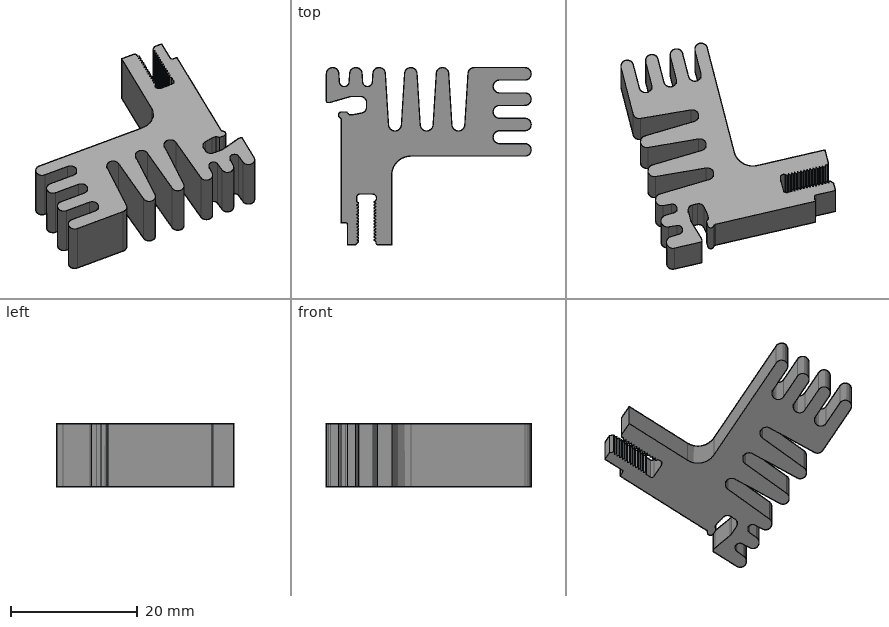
import cadquery as cq
import math

LENGTH_Z = 10.0
RIGHT_X = 30.0
TOP_Y = 28.0
LIP_LEFT_X = -2.34
ARM_BOTTOM_Y = 14.0
LEG_RIGHT_X = 8.0
INNER_CORNER_RADIUS = 3.0

FIN_RADIUS = 1.0
LONG_FIN_X = 6.0
LONG_FIN_PITCH = 5.0
LONG_FIN_COUNT = 4
LONG_VALLEY_RADIUS = 1.0
LONG_VALLEY_DEPTH = 10.0
SHORT_FIN_COUNT = 2
SHORT_VALLEY_RADIUS = 0.75
SHORT_VALLEY_DEPTH = 3.0
SIDE_FIN_COUNT = 4
SIDE_VALLEY_RADIUS = 1.0
SIDE_VALLEY_DEPTH = 6.0

LIP_TIP_Y = 22.44
LIP_TIP_END_X = -1.82
LIP_TIP_RADIUS = 0.25
LIP_SLOPE_RADIUS = 1.1
MOUTH_TOP_Y = 23.4
MOUTH_TOP_START_X = 1.5
MOUTH_END_X = 4.0
MOUTH_END_RADIUS = 0.9
MOUTH_SLOPE_END_Y = 20.98
MOUTH_FLOOR_Y = 20.58
MOUTH_FLOOR_START_X = 1.25
MOUTH_FLOOR_END_X = 1.95
NOSE_TOP_Y = 21.0
NOSE_TOP_END_X = 0.85
NOSE_BASE_Y = 19.87
NOSE_RADIUS = 0.5

STEP_X = 1.0
STEP_Y = 3.5
STEP_RADIUS = 0.3

SLOT_X = 4.0
SLOT_DEPTH = 8.0
SLOT_CORNER_RADIUS = 0.4
RELIEF_RADIUS = 0.6
RELIEF_BULGE = 0.08
THREAD_DIAMETER = 3.0
THREAD_PITCH = 0.5
RIB_COUNT = 13
LEFT_RIB_Y = 0.55
RIGHT_RIB_Y = LEFT_RIB_Y + THREAD_PITCH / 2
RIB_HEIGHT = 5 / 8 * THREAD_PITCH * math.cos(math.radians(30))
RIB_CREST = 3 / 8 * THREAD_PITCH
SLOT_MOUTH_CHAMFER = 0.22

SLOT_LEFT_X = SLOT_X - THREAD_DIAMETER / 2
SLOT_RIGHT_X = SLOT_X + THREAD_DIAMETER / 2


def evenly_spaced(first, last, count):
    step = (last - first) / (count - 1)
    return [first + i * step for i in range(count)]


def inner_tangent(start, start_radius, end, end_radius, side):
    """Points where a crossing tangent leaves one circle and meets the next.

    side is +1 when the start circle lies right of the line, -1 when left.
    """
    dx = end[0] - start[0]
    dy = end[1] - start[1]
    radii = start_radius + end_radius
    heading = math.atan2(dy, dx) - side * math.asin(radii / math.hypot(dx, dy))
    right_x = side * math.sin(heading)
    right_y = -side * math.cos(heading)
    leave = (start[0] - start_radius * right_x, start[1] - start_radius * right_y)
    meet = (end[0] + end_radius * right_x, end[1] + end_radius * right_y)
    return leave, meet


def add_comb(path, circles, outward):
    """Continue path clockwise over alternating fin tips and valley floors.

    circles holds (centre, radius), starting and ending with a fin tip. The path
    stops where the arc of the last tip begins.
    """
    side = 1
    for (centre, radius), (next_centre, next_radius) in zip(circles, circles[1:]):
        crown = (centre[0] + side * radius * outward[0], centre[1] + side * radius * outward[1])
        leave, meet = inner_tangent(centre, radius, next_centre, next_radius, side)
        path = path.threePointArc(crown, leave).lineTo(*meet)
        side = -side
    return path


def top_comb_circles():
    """Fin tips and valleys along the top, left to right."""
    tip_y = TOP_Y - FIN_RADIUS
    short_valley_y = TOP_Y - SHORT_VALLEY_DEPTH + SHORT_VALLEY_RADIUS
    long_valley_y = TOP_Y - LONG_VALLEY_DEPTH + LONG_VALLEY_RADIUS
    first_x = LIP_LEFT_X + FIN_RADIUS
    short_x = evenly_spaced(first_x, LONG_FIN_X, SHORT_FIN_COUNT + 1)
    circles = []
    for x, next_x in zip(short_x, short_x[1:]):
        circles.append(((x, tip_y), FIN_RADIUS))
        circles.append((((x + next_x) / 2, short_valley_y), SHORT_VALLEY_RADIUS))
    for i in range(LONG_FIN_COUNT):
        x = LONG_FIN_X + i * LONG_FIN_PITCH
        circles.append(((x, tip_y), FIN_RADIUS))
        if i < LONG_FIN_COUNT - 1:
            circles.append(((x + LONG_FIN_PITCH / 2, long_valley_y), LONG_VALLEY_RADIUS))
    return circles


def side_comb_circles():
    """Fin tips and valleys along the right end, top to bottom."""
    tip_x = RIGHT_X - FIN_RADIUS
    valley_x = RIGHT_X - SIDE_VALLEY_DEPTH + SIDE_VALLEY_RADIUS
    fin_y = evenly_spaced(TOP_Y - FIN_RADIUS, ARM_BOTTOM_Y + FIN_RADIUS, SIDE_FIN_COUNT)
    circles = [((tip_x, fin_y[0]), FIN_RADIUS)]
    for y, next_y in zip(fin_y, fin_y[1:]):
        circles.append(((valley_x, (y + next_y) / 2), SIDE_VALLEY_RADIUS))
        circles.append(((tip_x, next_y), FIN_RADIUS))
    return circles


def round_corner(body, x, y, radius):
    """Fillet the Z edge that passes through (x, y)."""
    edge = cq.selectors.NearestToPointSelector((x, y, LENGTH_Z / 2))
    return body.edges("|Z").edges(edge).fillet(radius)


def make_body():
    """Extruded profile: finned arm, leg with its foot step, and snap-in mouth."""
    path = cq.Workplane("XY").moveTo(LIP_LEFT_X, TOP_Y - FIN_RADIUS)
    top_circles = top_comb_circles()
    path = add_comb(path, top_circles, (0, 1))
    shoulder_x = top_circles[-1][0][0]
    diagonal = FIN_RADIUS * math.sqrt(0.5)
    shoulder_middle = (shoulder_x - diagonal, TOP_Y - FIN_RADIUS + diagonal)
    path = path.threePointArc(shoulder_middle, (shoulder_x, TOP_Y))
    path = path.lineTo(RIGHT_X - FIN_RADIUS, TOP_Y)
    path = add_comb(path, side_comb_circles(), (1, 0))
    lowest_tip = (RIGHT_X, ARM_BOTTOM_Y + FIN_RADIUS)
    path = path.threePointArc(lowest_tip, (RIGHT_X - FIN_RADIUS, ARM_BOTTOM_Y))

    nose_tip_x = NOSE_BASE_Y - NOSE_TOP_Y
    path = (
        path.lineTo(LEG_RIGHT_X, ARM_BOTTOM_Y)
        .lineTo(LEG_RIGHT_X, 0)
        .lineTo(STEP_X, 0)
        .lineTo(STEP_X, STEP_Y)
        .lineTo(0, STEP_Y)
        .lineTo(0, NOSE_BASE_Y)
        .lineTo(nose_tip_x, NOSE_TOP_Y)
        .lineTo(NOSE_TOP_END_X, NOSE_TOP_Y)
        .lineTo(MOUTH_FLOOR_START_X, MOUTH_FLOOR_Y)
        .lineTo(MOUTH_FLOOR_END_X, MOUTH_FLOOR_Y)
        .lineTo(MOUTH_END_X, MOUTH_SLOPE_END_Y)
        .lineTo(MOUTH_END_X, MOUTH_TOP_Y)
        .lineTo(MOUTH_TOP_START_X, MOUTH_TOP_Y)
        .lineTo(LIP_TIP_END_X, LIP_TIP_Y)
        .lineTo(LIP_LEFT_X, LIP_TIP_Y)
        .close()
    )
    body = path.extrude(LENGTH_Z)

    body = round_corner(body, LEG_RIGHT_X, ARM_BOTTOM_Y, INNER_CORNER_RADIUS)
    body = round_corner(body, STEP_X, STEP_Y, STEP_RADIUS)
    body = round_corner(body, nose_tip_x, NOSE_TOP_Y, NOSE_RADIUS)
    body = round_corner(body, MOUTH_END_X, MOUTH_SLOPE_END_Y, MOUTH_END_RADIUS)
    body = round_corner(body, MOUTH_END_X, MOUTH_TOP_Y, MOUTH_END_RADIUS)
    body = round_corner(body, MOUTH_TOP_START_X, MOUTH_TOP_Y, LIP_SLOPE_RADIUS)
    body = round_corner(body, LIP_TIP_END_X, LIP_TIP_Y, LIP_SLOPE_RADIUS)
    return round_corner(body, LIP_LEFT_X, LIP_TIP_Y, LIP_TIP_RADIUS)


def ribbed_wall(wall_x, lowest_y, inward):
    """Points up one slot wall from the crest of its lowest rib.

    inward is the X sign pointing into the slot.
    """
    crest_x = wall_x + inward * RIB_HEIGHT
    points = []
    for i in range(RIB_COUNT):
        y = lowest_y + i * THREAD_PITCH
        points.append((crest_x, y - RIB_CREST / 2))
        points.append((crest_x, y + RIB_CREST / 2))
        points.append((wall_x, y + THREAD_PITCH / 2))
    return points


def make_slot():
    """Cutter for the screw slot, open at the foot of the leg."""
    relief_x = SLOT_RIGHT_X + RELIEF_BULGE - RELIEF_RADIUS
    relief_y = SLOT_DEPTH - RELIEF_RADIUS
    left_wall = ribbed_wall(SLOT_LEFT_X, LEFT_RIB_Y, 1)
    right_wall = ribbed_wall(SLOT_RIGHT_X, RIGHT_RIB_Y, -1)
    left_foot = [(SLOT_LEFT_X + RIB_HEIGHT, 0)]
    right_foot = [(SLOT_RIGHT_X, RIGHT_RIB_Y - THREAD_PITCH / 2), (SLOT_RIGHT_X, 0)]
    floor = [(SLOT_LEFT_X, SLOT_DEPTH), (relief_x, SLOT_DEPTH), (SLOT_RIGHT_X, relief_y)]
    outline = left_foot + left_wall + floor + right_wall[::-1] + right_foot
    slot = cq.Workplane("XY").polyline(outline).close().extrude(LENGTH_Z)
    slot = round_corner(slot, SLOT_LEFT_X, SLOT_DEPTH, SLOT_CORNER_RADIUS)
    relief = cq.Workplane("XY").center(relief_x, relief_y).circle(RELIEF_RADIUS).extrude(LENGTH_Z)
    return slot.union(relief).union(make_slot_mouth())


def make_slot_mouth():
    """45 degree lead-in cutter at the open end of the slot."""
    half_width = THREAD_DIAMETER / 2 + SLOT_MOUTH_CHAMFER
    return (
        cq.Workplane("XY")
        .moveTo(SLOT_X - half_width, 0)
        .lineTo(SLOT_X + half_width, 0)
        .lineTo(SLOT_X, half_width)
        .close()
        .extrude(LENGTH_Z)
    )


result = make_body().cut(make_slot())